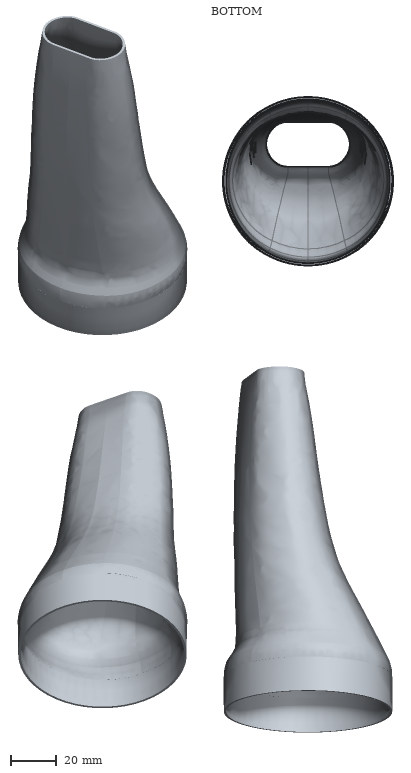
import cadquery as cq
import math

TOTAL_HEIGHT = 150.0
SOCKET_DIAMETER = 74.0
SOCKET_RADIUS = SOCKET_DIAMETER / 2
SOCKET_HEIGHT = 15.3
WALL = 1.0
MOUTH_FLAT_HALF = 8.7
PATCH_ANGLE = math.radians(28.6)
NECK_BASE = 31.6
FLATTENING_POWER = 1.2
EDGE_STEPS = 4

LOWER_SHOULDER = [
    (SOCKET_HEIGHT, SOCKET_RADIUS, SOCKET_RADIUS, -SOCKET_RADIUS),
    (18.5, 37.4, 36.8, -36.8),
    (21.8, 36.9, 35.8, -35.8),
]
MIDDLE_SHOULDER = [
    LOWER_SHOULDER[-1],
    (24.9, 35.8, 34.2, -33.8),
]
UPPER_SHOULDER = [
    MIDDLE_SHOULDER[-1],
    (27.8, 35.0, 32.7, -32.1),
    (NECK_BASE, 34.2, 30.6, -31.5),
]
NECK = [
    UPPER_SHOULDER[-1],
    (37.5, 33.2, 27.3, -31.5),
    (45.0, 32.0, 23.0, -31.6),
    (52.5, 30.6, 18.5, -31.8),
    (60.0, 29.1, 14.4, -32.0),
    (67.5, 27.8, 11.1, -32.0),
    (75.0, 27.0, 8.5, -32.0),
    (90.0, 26.0, 5.0, -31.6),
    (105.0, 24.9, 2.1, -31.0),
    (120.0, 23.7, -0.3, -30.2),
    (135.0, 21.8, -2.7, -28.8),
    (TOTAL_HEIGHT, 19.4, -5.4, -27.0),
]


def section(station, inset):
    """Closed outline that changes from a circle to a straight-sided oblong with height."""
    height, half_width, back, front = station
    center_y = (back + front) / 2
    half_depth = (back - front) / 2 - inset
    half_width -= inset
    neck_fraction = max(0.0, (height - NECK_BASE) / (TOTAL_HEIGHT - NECK_BASE))
    flatness = neck_fraction ** FLATTENING_POWER
    oblong_radius = half_width - MOUTH_FLAT_HALF

    def blended(circle_angle, oblong_x, oblong_y):
        round_x = half_width * math.sin(circle_angle)
        round_y = half_depth * math.cos(circle_angle)
        return cq.Vector(
            round_x + flatness * (oblong_x - round_x),
            center_y + round_y + flatness * (oblong_y - round_y),
            height,
        )

    def back_point(t):
        return blended(t * PATCH_ANGLE, t * MOUTH_FLAT_HALF, half_depth)

    def side_point(t):
        turn = math.pi * t
        return blended(
            PATCH_ANGLE + t * (math.pi - 2 * PATCH_ANGLE),
            MOUTH_FLAT_HALF + oblong_radius * math.sin(turn),
            half_depth * math.cos(turn),
        )

    def front_point(t):
        return blended(math.pi - (1 - t) * PATCH_ANGLE, (1 - t) * MOUTH_FLAT_HALF, -half_depth)

    right_half = [
        cq.Edge.makeSpline([curve(step / EDGE_STEPS) for step in range(EDGE_STEPS + 1)])
        for curve in (back_point, side_point, front_point)
    ]
    left_half = [edge.mirror("YZ") for edge in right_half]
    return cq.Wire.assembleEdges(right_half + left_half[::-1])


def loft(stations, inset=0.0):
    return cq.Workplane(cq.Solid.makeLoft([section(station, inset) for station in stations]))


def tube(stations):
    """Thin-walled length of the body that passes through the given stations."""
    return loft(stations).cut(loft(stations, WALL))


def socket():
    """Plain round collar, open at both ends."""
    return cq.Workplane("XY").circle(SOCKET_RADIUS).circle(SOCKET_RADIUS - WALL).extrude(SOCKET_HEIGHT)


result = socket()
for stretch in (LOWER_SHOULDER, MIDDLE_SHOULDER, UPPER_SHOULDER, NECK):
    result = result.union(tube(stretch))